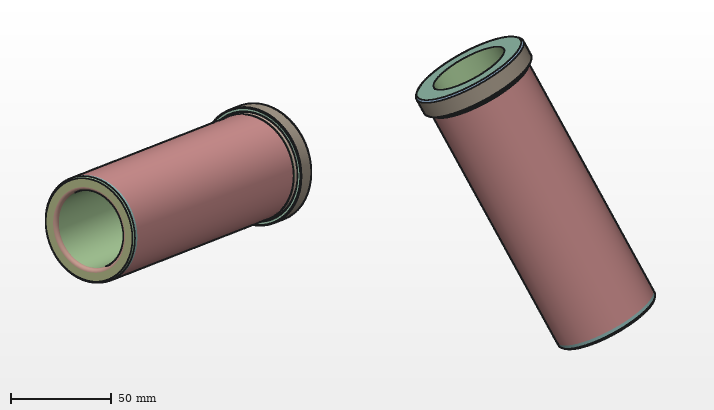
import cadquery as cq

total_length = 150.0
head_diameter = 61.0
head_length = 10.0
body_diameter = 55.0
bore_diameter = 40.0

head_back_chamfer = 1.0
head_front_chamfer = 0.5
neck_width = 2.0
neck_depth = 0.5
undercut_depth = 0.5
undercut_bevel_width = 0.5
undercut_corner_radius = 0.9
lead_length = 3.0
lead_depth = 0.05
lead_chamfer_length = 1.0
lead_chamfer_depth = 0.9
bore_entry_radius = 2.0

head_radius = head_diameter / 2
body_radius = body_diameter / 2
bore_radius = bore_diameter / 2
neck_radius = body_radius - neck_depth
undercut_floor_radius = neck_radius + undercut_corner_radius
undercut_rim_radius = undercut_floor_radius + undercut_bevel_width
lead_radius = body_radius - lead_depth
head_front_y = total_length - head_length
undercut_floor_y = head_front_y + undercut_depth
undercut_corner_y = undercut_floor_y - undercut_corner_radius
neck_front_y = head_front_y - neck_width


def make_sleeve():
    """Revolve the outer profile: tapered lead-in, body, neck, undercut into the head face, head."""
    profile = (
        cq.Workplane("XY")
        .moveTo(0, 0)
        .lineTo(lead_radius - lead_chamfer_depth, 0)
        .lineTo(lead_radius, lead_chamfer_length)
        .lineTo(body_radius, lead_length)
        .lineTo(body_radius, neck_front_y)
        .lineTo(neck_radius, neck_front_y + neck_depth)
        .lineTo(neck_radius, undercut_corner_y)
        .radiusArc((undercut_floor_radius, undercut_floor_y), undercut_corner_radius)
        .lineTo(undercut_rim_radius, head_front_y)
        .lineTo(head_radius, head_front_y)
        .lineTo(head_radius, total_length)
        .lineTo(0, total_length)
        .close()
    )
    return profile.revolve(360, (0, 0, 0), (0, 1, 0))


def chamfer_head_edges(sleeve):
    """Chamfer the back and front rims of the head."""
    rim = cq.selectors.RadiusNthSelector(-1)
    chamfered = sleeve.faces(">Y").edges(rim).chamfer(head_back_chamfer)
    front_rim = chamfered.edges(rim).edges("<Y")
    return front_rim.chamfer(head_front_chamfer)


def cut_bore(sleeve):
    """Cut the through bore and round its entry at the lead-in end."""
    bore = cq.Workplane("XZ").circle(bore_radius).extrude(-total_length)
    entry = cq.selectors.RadiusNthSelector(0)
    return sleeve.cut(bore).faces("<Y").edges(entry).fillet(bore_entry_radius)


result = cut_bore(chamfer_head_edges(make_sleeve()))